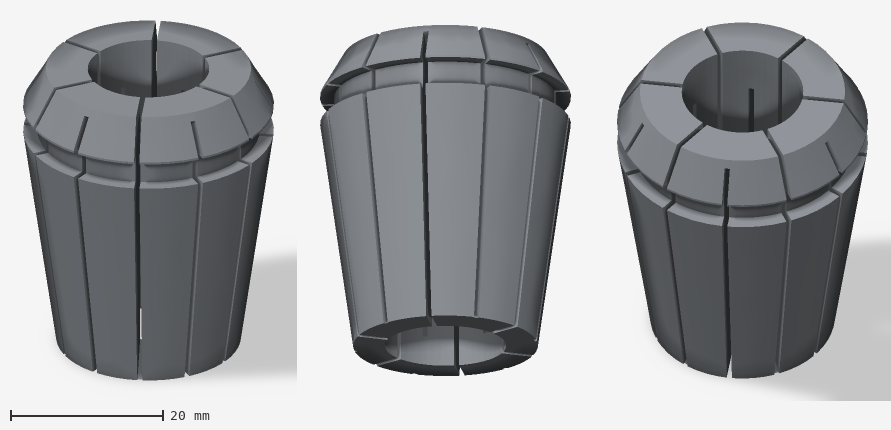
import math

import cadquery as cq

LENGTH = 40.0
OUTER_RADIUS = 16.5
BORE_RADIUS = 8.0

TAPER_HEIGHT = 30.9
TAPER_ANGLE = 8.0
GROOVE_TOP = 34.5
GROOVE_RADIUS = 14.65
RIM_HEIGHT = 0.3
NOSE_ANGLE = 30.0

SLITS_PER_END = 6
SLIT_SPACING = 360.0 / SLITS_PER_END
SLIT_WIDTH = 0.7
SAW_RADIUS = 30.0
TOP_SLIT_BORE_Z = 3.9
TOP_SLIT_BASE_RADIUS = 11.9
BOTTOM_SLIT_BORE_Z = 33.3
BOTTOM_SLIT_TIP = (14.1, 39.0)

CLEARANCE = 5.0


def collet_blank():
    """Turned body with its bore, before slitting."""
    base_radius = OUTER_RADIUS - TAPER_HEIGHT * math.tan(math.radians(TAPER_ANGLE))
    rim_top = GROOVE_TOP + RIM_HEIGHT
    nose_radius = OUTER_RADIUS - (LENGTH - rim_top) * math.tan(math.radians(NOSE_ANGLE))
    profile = [
        (BORE_RADIUS, 0),
        (base_radius, 0),
        (OUTER_RADIUS, TAPER_HEIGHT),
        (GROOVE_RADIUS, TAPER_HEIGHT),
        (GROOVE_RADIUS, GROOVE_TOP),
        (OUTER_RADIUS, GROOVE_TOP),
        (OUTER_RADIUS, rim_top),
        (nose_radius, LENGTH),
        (BORE_RADIUS, LENGTH),
    ]
    return cq.Workplane("XZ").polyline(profile).close().revolve(360, (0, 0), (0, 1))


def saw_centre(inner, outer, side):
    """Centre of the saw through two run-out points; side is +1 above them, -1 below."""
    chord_r = outer[0] - inner[0]
    chord_z = outer[1] - inner[1]
    chord = math.hypot(chord_r, chord_z)
    rise = math.sqrt(SAW_RADIUS**2 - (chord / 2) ** 2)
    middle_r = (inner[0] + outer[0]) / 2
    middle_z = (inner[1] + outer[1]) / 2
    return (
        middle_r - side * rise * chord_z / chord,
        middle_z + side * rise * chord_r / chord,
    )


def slit_cutter(inner, outer, open_z, side):
    """Thin plate on one side of the axis, ended by the saw arc and open towards open_z."""
    centre_r, centre_z = saw_centre(inner, outer, side)
    start = (centre_r - SAW_RADIUS, centre_z)
    end = (centre_r, centre_z - side * SAW_RADIUS)
    diagonal = SAW_RADIUS * math.sqrt(0.5)
    middle = (centre_r - diagonal, centre_z - side * diagonal)
    return (
        cq.Workplane("XZ")
        .moveTo(*start)
        .threePointArc(middle, end)
        .lineTo(centre_r, open_z)
        .lineTo(start[0], open_z)
        .close()
        .extrude(SLIT_WIDTH / 2, both=True)
    )


def cut_slits(body, cutter, first_angle):
    """Cut one ring of evenly spaced slits."""
    for index in range(SLITS_PER_END):
        angle = first_angle + index * SLIT_SPACING
        body = body.cut(cutter.rotate((0, 0, 0), (0, 0, 1), angle))
    return body


top_cutter = slit_cutter(
    (BORE_RADIUS, TOP_SLIT_BORE_Z),
    (TOP_SLIT_BASE_RADIUS, 0),
    LENGTH + CLEARANCE,
    1,
)
bottom_cutter = slit_cutter(
    (BORE_RADIUS, BOTTOM_SLIT_BORE_Z),
    BOTTOM_SLIT_TIP,
    -CLEARANCE,
    -1,
)
result = cut_slits(collet_blank(), top_cutter, 0)
result = cut_slits(result, bottom_cutter, SLIT_SPACING / 2)